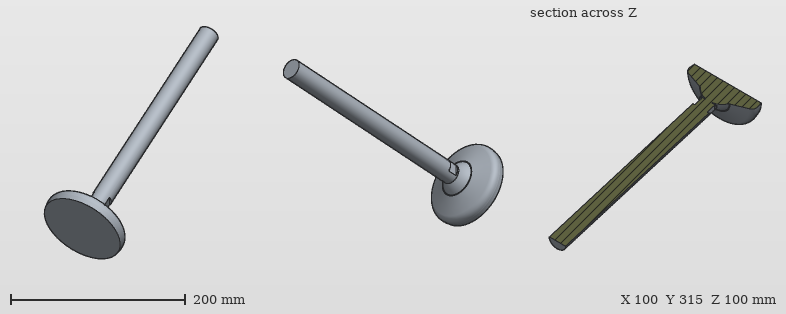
import cadquery as cq
import math

total_length = 315.0

pad_radius = 50.0
sole_radius = 49.0
rim_start = 6.0
rim_end = 8.5
shoulder_radius = 8.0
cone_angle = math.radians(20.0)
cone_top = 24.2

ball_radius = 25.5
ball_centre = 10.0

stud_radius = 12.0
stud_start = 35.0
flat_width = 19.0
flat_start = 37.0
flat_end = 49.5


def shoulder_point(angle):
    """Profile point (height, radius) on the shoulder arc, at an angle from the axis direction."""
    return (
        rim_end + shoulder_radius * math.cos(angle),
        pad_radius - shoulder_radius + shoulder_radius * math.sin(angle),
    )


def ball_point(height):
    """Profile point (height, radius) on the ball at a given height."""
    return (height, math.sqrt(ball_radius**2 - (height - ball_centre) ** 2))


def make_foot():
    """Revolved body: tapered pad edge, round shoulder, cone, ball dome and plain stud."""
    cone_base = shoulder_point(cone_angle)
    shoulder_mid = shoulder_point((cone_angle + math.pi / 2) / 2)
    cone_top_radius = cone_base[1] - (cone_top - cone_base[0]) / math.tan(cone_angle)
    profile = (
        cq.Workplane("YZ")
        .moveTo(0, 0)
        .lineTo(0, sole_radius)
        .lineTo(rim_start, pad_radius)
        .lineTo(rim_end, pad_radius)
        .threePointArc(shoulder_mid, cone_base)
        .lineTo(cone_top, cone_top_radius)
        .lineTo(*ball_point(cone_top))
        .threePointArc(ball_point((cone_top + stud_start) / 2), ball_point(stud_start))
        .lineTo(stud_start, stud_radius)
        .lineTo(total_length, stud_radius)
        .lineTo(total_length, 0)
        .close()
    )
    return profile.revolve(360, (0, 0), (1, 0))


def cut_wrench_flats(body):
    """Cut two opposite flats into the +X and -X sides of the stud."""
    flat_depth = stud_radius - flat_width / 2
    notch = cq.Workplane("XY").box(flat_depth, flat_end - flat_start, 2 * stud_radius)
    notch_offset = stud_radius - flat_depth / 2
    notch_height = (flat_start + flat_end) / 2
    for side in (-1, 1):
        body = body.cut(notch.translate((side * notch_offset, notch_height, 0)))
    return body


foot = cut_wrench_flats(make_foot())
result = foot.translate((0, -total_length / 2, 0))